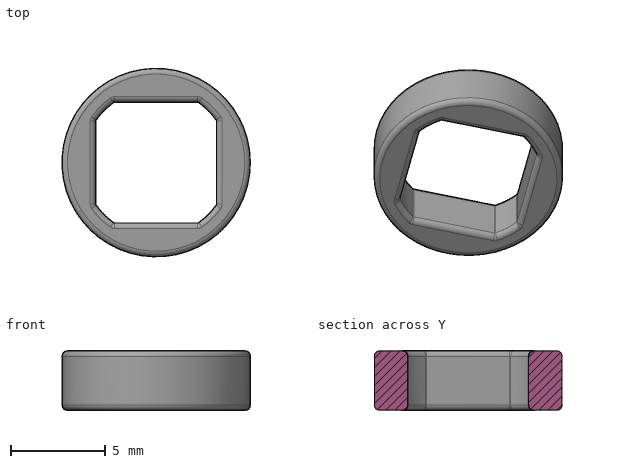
import cadquery as cq

outer_diameter = 10.0
height = 3.17
bore_across_flats = 6.4
bore_corner_diameter = 7.8
bore_blend_radius = 0.1
edge_radius = 0.3


def centred_cylinder(diameter):
    """Full-height cylinder on the Z axis, centred on the mid plane."""
    return cq.Workplane("XY").cylinder(height, diameter / 2)


def bore():
    """Square prism whose corners are cut back to a circle, with blended upright edges."""
    square = cq.Workplane("XY").box(bore_across_flats, bore_across_flats, height)
    corner_cut_square = square.intersect(centred_cylinder(bore_corner_diameter))
    return corner_cut_square.edges("|Z").fillet(bore_blend_radius)


def round_rims(ring):
    """Round all outer and bore edges of the top and bottom faces."""
    return ring.faces("<Z or >Z").edges().fillet(edge_radius)


result = round_rims(centred_cylinder(outer_diameter).cut(bore()))